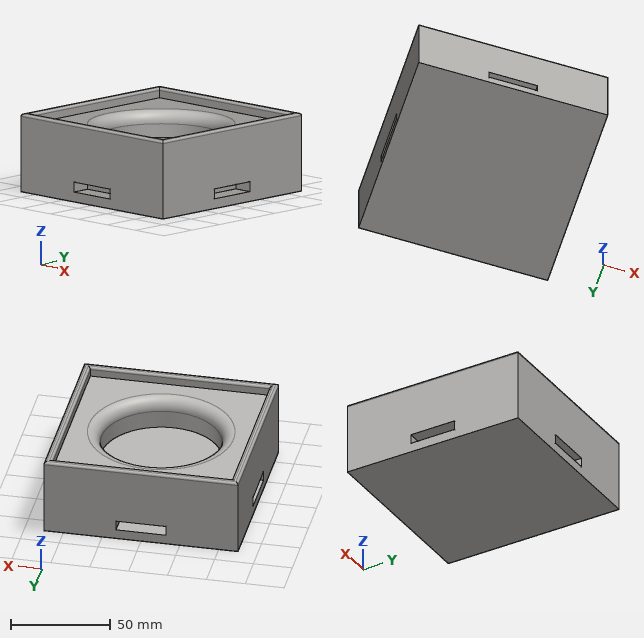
import cadquery as cq

side = 100
height = 40.1

rim_width = 3.8
rim_round = 1.3
rim_depth = 5.1
deck_z = height - rim_depth

well_diameter = 61.6
lip_radius = 6.4
well_depth = 15.7

slot_width = 25.6
slot_height = 5.1
slot_bottom = 5.1
slot_depth = 10


def make_body():
    """Square block with a shallow square recess inside a rounded rim."""
    recess_side = side - 2 * rim_width
    block = cq.Workplane("XY").box(side, side, height, centered=(True, True, False))
    recess = (
        cq.Workplane("XY")
        .workplane(offset=deck_z)
        .rect(recess_side, recess_side)
        .extrude(rim_depth)
    )
    return block.cut(recess).faces(">Z").edges().fillet(rim_round)


def cut_well(body):
    """Flat-bottomed well whose mouth flares into the deck with a round lip."""
    radius = well_diameter / 2
    floor_z = deck_z - well_depth
    mouth_radius = radius + lip_radius
    mid_offset = lip_radius * 0.5**0.5
    profile = (
        cq.Workplane("XZ")
        .moveTo(0, floor_z)
        .lineTo(radius, floor_z)
        .lineTo(radius, deck_z - lip_radius)
        .threePointArc(
            (mouth_radius - mid_offset, deck_z - lip_radius + mid_offset),
            (mouth_radius, deck_z),
        )
        .lineTo(0, deck_z)
        .close()
    )
    well = profile.revolve(360, (0, 0, 0), (0, 1, 0))
    return body.cut(well)


def cut_side_slots(body):
    """Same slot on all four sides."""
    slot = cq.Workplane("XY").box(slot_width, slot_depth, slot_height, centered=(True, False, False))
    slot = slot.translate((0, -side / 2, slot_bottom))
    for angle in (0, 90, 180, 270):
        body = body.cut(slot.rotate((0, 0, 0), (0, 0, 1), angle))
    return body


result = cut_side_slots(cut_well(make_body()))